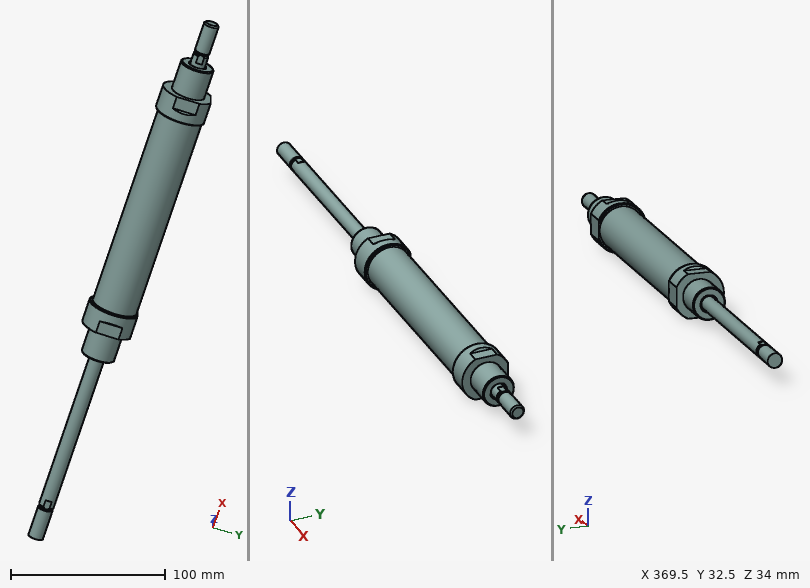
import cadquery as cq

overall_length = 369.5
long_reach = 130.0
short_reach = 30.0

nose_diameter = 22.0
nose_length = 20.0
nose_chamfer = 0.7
mouth_diameter = 12.0
mouth_depth = 1.0
head_diameter = 34.0
head_length = 16.0
head_chamfer = 0.7
side_flat_offset = 15.5
wrench_flat_offset = 15.0
wrench_flat_length = 8.0
wrench_flat_ramp = 1.0

barrel_diameter = 30.0

rod_diameter = 10.0
tip_length = 20.5
groove_depth = 0.45
groove_floor = 1.0
groove_slope = 1.0
rod_flat_depth = 0.45
rod_flat_length = 6.0
short_rod_chamfer = 1.0

short_nose_face = overall_length - short_reach
body_center = (long_reach + short_nose_face) / 2
head_start = long_reach + nose_length
barrel_start = head_start + head_length
barrel_length = 2 * (body_center - barrel_start)


def cylinder_along_x(start, length, diameter):
    return cq.Workplane("YZ", origin=(start, 0, 0)).circle(diameter / 2).extrude(length)


def cut_both_z_sides(body, cutter):
    return body.cut(cutter).cut(cutter.mirror("XY"))


def make_barrel():
    barrel = cylinder_along_x(barrel_start, barrel_length, barrel_diameter)
    return barrel.cut(cylinder_along_x(barrel_start, barrel_length, rod_diameter))


def wrench_flat_cutter():
    """Wedge over the +Z flat of the head; its far end slopes up to the rim of the head."""
    flat_end = head_start + wrench_flat_length
    rim = head_diameter / 2
    return (
        cq.Workplane("XZ")
        .moveTo(head_start, wrench_flat_offset)
        .lineTo(flat_end, wrench_flat_offset)
        .lineTo(flat_end + wrench_flat_ramp, rim)
        .lineTo(head_start, rim)
        .close()
        .extrude(rim, both=True)
    )


def side_flat_cutter():
    """Box beyond the flat on the +Y side of the head."""
    depth = head_diameter / 2 - side_flat_offset
    box = cq.Workplane("XY").box(head_length, depth, head_diameter, centered=(False, False, True))
    return box.translate((head_start, side_flat_offset, 0))


def make_cap():
    """Cap at the long-rod end."""
    nose = cylinder_along_x(long_reach, nose_length, nose_diameter)
    nose = nose.faces("<X").chamfer(nose_chamfer)
    head = cylinder_along_x(head_start, head_length, head_diameter)
    head = head.faces(">X").chamfer(head_chamfer)
    head = cut_both_z_sides(head, wrench_flat_cutter()).cut(side_flat_cutter())
    rod_hole = cylinder_along_x(long_reach, nose_length + head_length, rod_diameter)
    mouth = cylinder_along_x(long_reach, mouth_depth, mouth_diameter)
    return nose.union(head).cut(rod_hole).cut(mouth)


def make_rod(length):
    """Rod running from X = 0 to the given length, with its grooved end at X = 0."""
    radius = rod_diameter / 2
    floor_radius = radius - groove_depth
    floor_end = tip_length + groove_floor
    profile = (
        cq.Workplane("XZ")
        .moveTo(0, 0)
        .lineTo(0, radius)
        .lineTo(tip_length, radius)
        .lineTo(tip_length, floor_radius)
        .lineTo(floor_end, floor_radius)
        .lineTo(floor_end + groove_slope, radius)
        .lineTo(length, radius)
        .lineTo(length, 0)
        .close()
    )
    rod = profile.revolve(360, (0, 0, 0), (1, 0, 0))
    flat = cq.Workplane("XY").box(rod_flat_length, rod_diameter, rod_flat_depth, centered=(False, True, False))
    return cut_both_z_sides(rod, flat.translate((floor_end, 0, radius - rod_flat_depth)))


barrel = make_barrel()

cap = make_cap()
far_cap = cap.mirror("YZ", (body_center, 0, 0))

long_rod = make_rod(body_center)
short_rod = make_rod(overall_length - body_center).faces("<X").chamfer(short_rod_chamfer)
short_rod = short_rod.mirror("YZ", (overall_length / 2, 0, 0))

bodies = [barrel, cap, far_cap, long_rod, short_rod]
result = cq.Compound.makeCompound([body.val() for body in bodies])